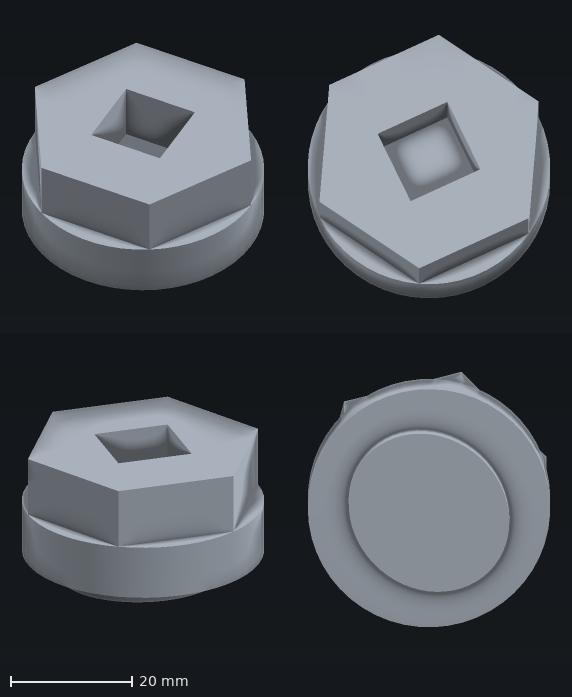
import cadquery as cq

flange_diameter = 40.0
flange_height = 9.0
hex_height = 10.0
boss_length_x = 28.0
boss_length_y = 25.0
boss_height = 4.0
socket_side = 12.7
socket_depth = hex_height

flange_bottom = boss_height
hex_bottom = flange_bottom + flange_height
hex_top = hex_bottom + hex_height

boss = (
    cq.Workplane("XY")
    .ellipse(boss_length_x / 2, boss_length_y / 2)
    .extrude(boss_height)
)

flange = (
    cq.Workplane("XY", origin=(0, 0, flange_bottom))
    .circle(flange_diameter / 2)
    .extrude(flange_height)
)

head = (
    cq.Workplane("XY", origin=(0, 0, hex_bottom))
    .polygon(6, flange_diameter)
    .extrude(hex_height)
)

socket = (
    cq.Workplane("XY", origin=(0, 0, hex_top))
    .rect(socket_side, socket_side)
    .extrude(-socket_depth)
)

result = boss.union(flange).union(head).cut(socket)